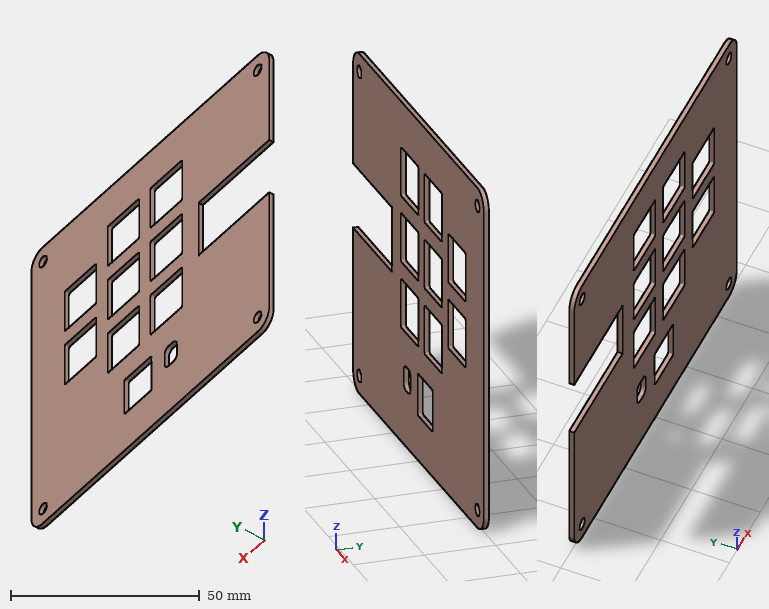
import cadquery as cq

WIDTH = 105.5
THICKNESS = 1.5
HEIGHT = 98.1
CORNER_RADIUS = 5.1

MOUNT_DIAMETER = 3.4
MOUNT_INSET = 5.2

NOTCH_DEPTH = 31.3
NOTCH_HEIGHT = 18.6
NOTCH_Z = 6.1

KEY_SIZE = 14.0
KEY_PITCH = 19.0
WINDOW_CORNER_RADIUS = 0.5
GRID_COLUMNS = 2
GRID_ROWS = 3
GRID_LEFT_X = -7.1
GRID_MIDDLE_Z = 9.8
SIDE_COLUMN_X = 31.0
SIDE_ROWS = 2

LOWER_WINDOW_SIZE = 12.0
LOWER_WINDOW_X = 5.5
LOWER_WINDOW_Z = -30.1

SMALL_OPENING_WIDTH = 5.5
SMALL_OPENING_HEIGHT = 7.0
SMALL_OPENING_RADIUS = 1.8
SMALL_OPENING_X = -9.1
SMALL_OPENING_Z = -29.4


def block(width, height, x=0.0, z=0.0):
    """Box as thick as the plate, centred at (x, z)."""
    return cq.Workplane("XY").box(width, THICKNESS, height).translate((x, 0, z))


def rounded_block(width, height, radius, x=0.0, z=0.0):
    """Block with its four through-thickness edges rounded."""
    return block(width, height, x, z).edges("|Y").fillet(radius)


def column_of_keys(x, middle_z, rows):
    """Places of evenly pitched keys in a column centred on middle_z."""
    return [(x, middle_z + (row - (rows - 1) / 2) * KEY_PITCH) for row in range(rows)]


plate = rounded_block(WIDTH, HEIGHT, CORNER_RADIUS)
notch_x = (NOTCH_DEPTH - WIDTH) / 2
plate = plate.cut(block(NOTCH_DEPTH, NOTCH_HEIGHT, notch_x, NOTCH_Z))

mount_holes = (
    cq.Workplane("XZ")
    .rect(WIDTH - 2 * MOUNT_INSET, HEIGHT - 2 * MOUNT_INSET, forConstruction=True)
    .vertices()
    .circle(MOUNT_DIAMETER / 2)
    .extrude(THICKNESS, both=True)
)
plate = plate.cut(mount_holes)

key_places = []
for column in range(GRID_COLUMNS):
    key_places += column_of_keys(GRID_LEFT_X + column * KEY_PITCH, GRID_MIDDLE_Z, GRID_ROWS)
key_places += column_of_keys(SIDE_COLUMN_X, GRID_MIDDLE_Z, SIDE_ROWS)
for x, z in key_places:
    plate = plate.cut(rounded_block(KEY_SIZE, KEY_SIZE, WINDOW_CORNER_RADIUS, x, z))

lower_window = rounded_block(
    LOWER_WINDOW_SIZE, LOWER_WINDOW_SIZE, WINDOW_CORNER_RADIUS, LOWER_WINDOW_X, LOWER_WINDOW_Z
)
small_opening = rounded_block(
    SMALL_OPENING_WIDTH, SMALL_OPENING_HEIGHT, SMALL_OPENING_RADIUS, SMALL_OPENING_X, SMALL_OPENING_Z
)
result = plate.cut(lower_window).cut(small_opening)